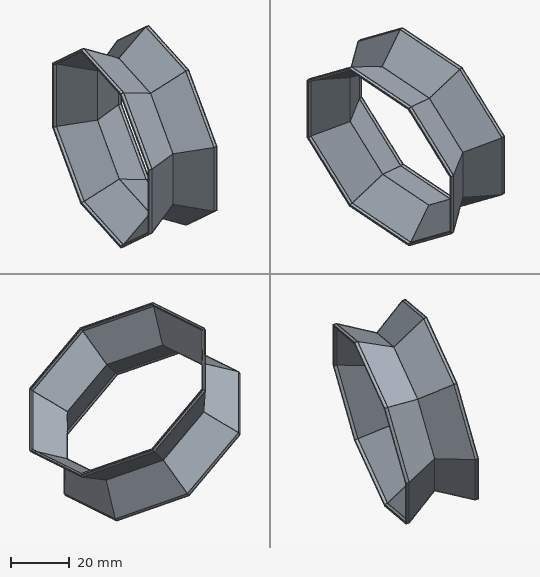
import cadquery as cq
import math

SIDES = 8
RIM_FLATS = 66.8
RING_WIDTH = 26.4
RIM_BAND = 1.15
WALL = 0.7
WAIST_DEPTH = 6.95

half_width = RING_WIDTH / 2
slope_width = half_width - RIM_BAND


def octagon(across_flats, y):
    """Octagon wire centred on the Y axis, with flats facing X and Z."""
    corner_radius = across_flats / 2 / math.cos(math.pi / SIDES)
    points = []
    for i in range(SIDES):
        angle = (2 * i + 1) * math.pi / SIDES
        points.append(cq.Vector(corner_radius * math.cos(angle), y, corner_radius * math.sin(angle)))
    return cq.Wire.makePolygon(points, close=True)


def waisted_octagon(rim_flats):
    """Solid octagonal body: straight bands at both ends, tapering to the waist at Y = 0."""
    waist_flats = rim_flats - 2 * WAIST_DEPTH
    stations = [
        (-half_width, rim_flats),
        (-slope_width, rim_flats),
        (0, waist_flats),
        (slope_width, rim_flats),
        (half_width, rim_flats),
    ]
    body = cq.Workplane("XY")
    for (y_start, flats_start), (y_end, flats_end) in zip(stations, stations[1:]):
        segment = cq.Solid.makeLoft([octagon(flats_start, y_start), octagon(flats_end, y_end)], True)
        body = body.union(cq.Workplane(obj=segment))
    return body


outer_body = waisted_octagon(RIM_FLATS)
inner_space = waisted_octagon(RIM_FLATS - 2 * WALL)
result = outer_body.cut(inner_space)